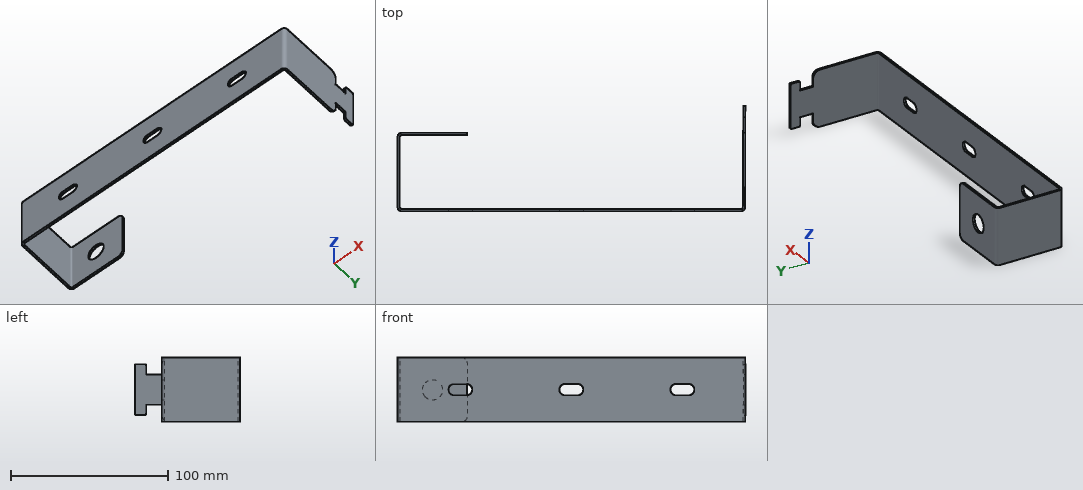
import cadquery as cq

strip_height = 41.0
thickness = 1.5
bend_radius = 2.7
base_length = 220.8
arm_depth = 50.0
flange_length = 44.2
flange_corner_radius = 4.0
arm_corner_radius = 5.0

overall_length = 221.0
overall_depth = 67.0
head_depth = 7.3
head_height = 32.5
head_corner_radius = 1.0
neck_height = 19.2

slot_length = 15.0
slot_width = 7.0
slot_pitch = 70.5
flange_hole_diameter = 12.8


def plate(length, depth):
    """Flat sheet in XY, centred in Z on the strip."""
    return cq.Workplane("XY").box(length, depth, strip_height, centered=(False, False, True))


def base_and_flange_strip():
    """Base, left arm and return flange bent from one strip."""
    outer = plate(base_length, arm_depth).edges("|Z").edges("<X").fillet(bend_radius)
    inner = (
        plate(base_length, arm_depth - 2 * thickness)
        .translate((thickness, thickness, 0))
        .edges("|Z").edges("<X").fillet(bend_radius - thickness)
    )
    gap = plate(base_length, arm_depth).translate((flange_length, thickness, 0))
    strip = outer.cut(inner).cut(gap)
    return strip.edges("|Y").edges(cq.selectors.BoxSelector(
        (flange_length - thickness, arm_depth - 2 * thickness, -strip_height),
        (flange_length + thickness, arm_depth + thickness, strip_height),
    )).fillet(flange_corner_radius)


def hook_arm():
    """Leaning arm, with its T-shaped outline cut in the YZ plane."""
    blank = (
        cq.Workplane("XY")
        .polyline([
            (base_length - thickness, 0),
            (base_length, 0),
            (overall_length, overall_depth),
            (overall_length - thickness, overall_depth),
        ])
        .close()
        .extrude(strip_height / 2, both=True)
    )

    def profile(start, end, height):
        return (
            cq.Workplane("XY")
            .box(4 * thickness, end - start, height, centered=(True, False, True))
            .translate((base_length, start, 0))
        )

    body = profile(0, arm_depth, strip_height).edges("|X and >Y").fillet(arm_corner_radius)
    neck = profile(arm_depth - arm_corner_radius, overall_depth - head_corner_radius, neck_height)
    head = profile(overall_depth - head_depth, overall_depth, head_height)
    head = head.edges("|X").fillet(head_corner_radius)
    return blank.intersect(body.union(neck).union(head))


def sheet_cutter(center_x, center_y):
    """Workplane facing -Y at the middle of a sheet, ready for a cutter sketch."""
    return cq.Workplane("XZ", origin=(center_x, center_y, 0))


bracket = base_and_flange_strip().union(hook_arm())

bracket = bracket.edges(cq.selectors.BoxSelector(
    (base_length - bend_radius, -thickness, -strip_height),
    (base_length + thickness, thickness / 2, strip_height),
)).edges("|Z").fillet(bend_radius)
bracket = bracket.edges(cq.selectors.BoxSelector(
    (base_length - bend_radius, thickness / 2, -strip_height),
    (base_length, bend_radius, strip_height),
)).edges("|Z").fillet(bend_radius - thickness)

for step in (-1, 0, 1):
    slot = sheet_cutter(base_length / 2 + step * slot_pitch, thickness / 2).slot2D(slot_length, slot_width)
    bracket = bracket.cut(slot.extrude(thickness, both=True))

flange_hole = sheet_cutter(flange_length / 2, arm_depth - thickness / 2).circle(flange_hole_diameter / 2)
bracket = bracket.cut(flange_hole.extrude(thickness, both=True))

result = bracket